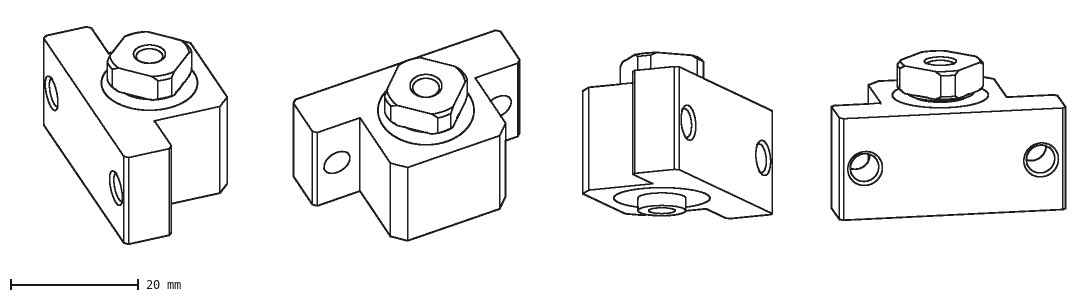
import cadquery as cq

bar_length = 36.0
bar_depth = 8.0
bar_chamfer = 0.58
housing_depth = 21.0
housing_height = 16.5
block_width = 20.0
block_chamfer = 2.0
axis_to_front = 11.0
bore_diameter = 15.1

mount_spacing = 28.0
mount_diameter = 4.5
mount_countersink_diameter = 5.5

insert_diameter = 15.0
spigot_diameter = 7.5
spigot_length = 2.0
neck_diameter = 8.5
neck_height = 0.5
collar_diameter = 10.5
collar_height = 0.5
head_height = 4.5
head_across_flats = 11.0
head_corner_diameter = 13.5
head_chamfer = 0.55
through_diameter = 4.15
through_countersink_diameter = 5.0

front_y = -axis_to_front
back_y = front_y + housing_depth
head_base_z = housing_height + neck_height + collar_height
head_top_z = head_base_z + head_height


def cylinder(diameter, base_z, height):
    """Upright cylinder on the insert axis."""
    return cq.Workplane("XY").workplane(offset=base_z).circle(diameter / 2).extrude(height)


def make_housing():
    bar = (
        cq.Workplane("XY")
        .center(0, front_y + bar_depth / 2)
        .rect(bar_length, bar_depth)
        .extrude(housing_height)
        .edges("|Z")
        .chamfer(bar_chamfer)
    )
    block = (
        cq.Workplane("XY")
        .center(0, (front_y + back_y) / 2)
        .rect(block_width, housing_depth)
        .extrude(housing_height)
        .edges("|Z and >Y")
        .chamfer(block_chamfer)
    )
    bore = cylinder(bore_diameter, 0, housing_height)

    mount_holes = (
        cq.Workplane("XZ", origin=(0, front_y, housing_height / 2))
        .pushPoints([(-mount_spacing / 2, 0), (mount_spacing / 2, 0)])
    )
    countersink_depth = (mount_countersink_diameter - mount_diameter) / 2
    drills = mount_holes.circle(mount_diameter / 2).extrude(-bar_depth)
    countersinks = (
        mount_holes.circle(mount_countersink_diameter / 2)
        .extrude(-countersink_depth, taper=45)
    )
    return bar.union(block).cut(bore).cut(drills).cut(countersinks)


def make_head():
    """Square head turned 45 degrees, its corners rounded and chamfered by turning."""
    square = (
        cq.Workplane("XY")
        .workplane(offset=head_base_z)
        .transformed(rotate=(0, 0, 45))
        .rect(head_across_flats, head_across_flats)
        .extrude(head_height)
    )
    turned_blank = (
        cylinder(head_corner_diameter, head_base_z, head_height)
        .faces("<Z or >Z")
        .edges()
        .chamfer(head_chamfer)
    )
    return square.intersect(turned_blank)


def make_insert():
    spigot = cylinder(spigot_diameter, -spigot_length, spigot_length)
    body = cylinder(insert_diameter, 0, housing_height)
    neck = cylinder(neck_diameter, housing_height, neck_height)
    collar = cylinder(collar_diameter, housing_height + neck_height, collar_height)
    solid = body.union(spigot).union(neck).union(collar).union(make_head())

    through_hole = cylinder(through_diameter, -spigot_length, head_top_z + spigot_length)
    countersink_depth = (through_countersink_diameter - through_diameter) / 2
    countersink = (
        cq.Workplane("XY")
        .workplane(offset=head_top_z)
        .circle(through_countersink_diameter / 2)
        .extrude(-countersink_depth, taper=45)
    )
    return solid.cut(through_hole).cut(countersink)


housing = make_housing()
insert = make_insert()

result = cq.Compound.makeCompound([housing.val(), insert.val()])